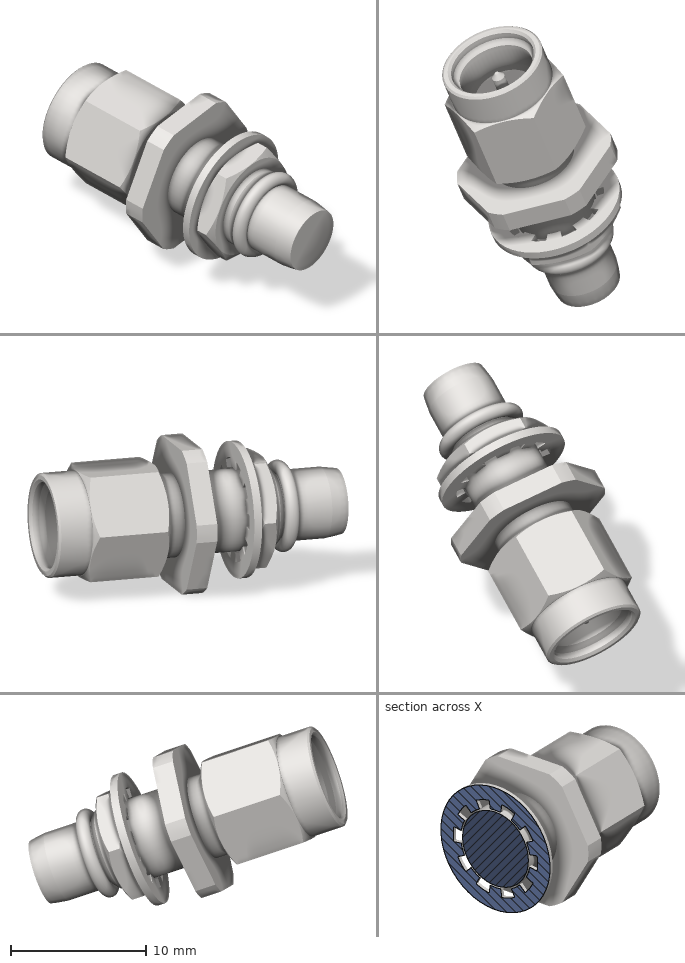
import cadquery as cq
import math


hex_front = 2.57
body_face = 3.05
hex_rear = 8.6
flange_front = 10.0
flange_thickness = 1.6
washer_front = 14.77
washer_thickness = 0.6
lock_nut_thickness = 1.6
thread_chamfer_start = 17.48
ring_center = 18.42
taper_start = 21.62
total_length = 22.95

flange_rear = flange_front + flange_thickness
lock_nut_front = washer_front + washer_thickness
lock_nut_rear = lock_nut_front + lock_nut_thickness

sleeve_radius = 3.9
sleeve_chamfer = 0.15
mouth_radius = 3.22
mouth_chamfer = 0.2
mouth_depth = 0.7
thread_bore_radius = 2.84
relief_radius = 3.2
relief_length = 1.5

hex_across_flats = 8.0
hex_chamfer_angle = 30
hex_chamfer_radius = 3.97

shank_radius = 2.26
collar_radius = 3.15
flange_across_flats = 11.0
flange_corner_radius = 6.0
thread_radius = 3.08
tail_radius = 2.66
tail_end_radius = 2.45
taper_bulge = 0.02

ring_tube_radius = 0.53
ring_radius = 2.9
groove_radius = ring_radius - ring_tube_radius
groove_width = 1.08

washer_radius = 5.1
washer_bore_radius = 3.2
slot_outer_radius = 3.9
tooth_count = 10
slot_angle = 180 / tooth_count

pin_radius = 0.48
pin_point_radius = 0.15
pin_point = 1.2
pin_point_length = 0.38
pin_rear = 6.0


def disc(radius, front, rear):
    """Solid cylinder on the X axis."""
    return cq.Workplane("YZ").workplane(offset=front).circle(radius).extrude(rear - front)


def hexagon(across_flats, front, rear):
    """Hexagonal prism on the X axis, flats up and down, corners toward +Y and -Y."""
    across_corners = across_flats / math.cos(math.radians(30))
    return cq.Workplane("YZ").workplane(offset=front).polygon(6, across_corners).extrude(rear - front)


def turned(points):
    """Solid of revolution about X; points are (x, radius)."""
    return cq.Workplane("XY").polyline(points).close().revolve(360, (0, 0, 0), (1, 0, 0))


def chamfered_hexagon(front, rear):
    """Nut hexagon whose corners are turned off conically at both ends."""
    corner_radius = hex_across_flats / 2 / math.cos(math.radians(30))
    chamfer_length = (corner_radius - hex_chamfer_radius) * math.tan(math.radians(hex_chamfer_angle))
    envelope = turned([
        (front, 0),
        (front, hex_chamfer_radius),
        (front + chamfer_length, corner_radius),
        (rear - chamfer_length, corner_radius),
        (rear, hex_chamfer_radius),
        (rear, 0),
    ])
    return hexagon(hex_across_flats, front, rear).intersect(envelope)


def make_coupling_nut():
    sleeve = disc(sleeve_radius, 0, hex_front).faces("<X").chamfer(sleeve_chamfer)
    nut = sleeve.union(chamfered_hexagon(hex_front, hex_rear))
    relief_rear = body_face + relief_length
    bore = turned([
        (0, 0),
        (0, mouth_radius + mouth_chamfer),
        (mouth_chamfer, mouth_radius),
        (mouth_depth, mouth_radius),
        (mouth_depth + mouth_radius - thread_bore_radius, thread_bore_radius),
        (body_face, thread_bore_radius),
        (body_face, relief_radius),
        (relief_rear, relief_radius),
        (relief_rear, shank_radius),
        (hex_rear, shank_radius),
        (hex_rear, 0),
    ])
    return nut.cut(bore)


def make_pin():
    return turned([
        (pin_point, 0),
        (pin_point, pin_point_radius),
        (pin_point + pin_point_length, pin_radius),
        (pin_rear, pin_radius),
        (pin_rear, 0),
    ])


def make_body(pin):
    """One turned piece with a hexagonal flange, an O-ring groove and a hole for the pin."""
    groove_front = ring_center - groove_width / 2
    groove_rear = ring_center + groove_width / 2
    chamfer_end_radius = thread_radius - (groove_front - thread_chamfer_start)
    taper_middle = (
        (taper_start + total_length) / 2,
        (tail_radius + tail_end_radius) / 2 + taper_bulge,
    )
    core = (
        cq.Workplane("XY")
        .moveTo(body_face, 0)
        .lineTo(body_face, shank_radius)
        .lineTo(hex_rear, shank_radius)
        .lineTo(hex_rear, collar_radius)
        .lineTo(flange_rear, collar_radius)
        .lineTo(flange_rear, thread_radius)
        .lineTo(thread_chamfer_start, thread_radius)
        .lineTo(groove_front, chamfer_end_radius)
        .lineTo(groove_front, groove_radius)
        .lineTo(groove_rear, groove_radius)
        .lineTo(groove_rear, tail_radius)
        .lineTo(taper_start, tail_radius)
        .threePointArc(taper_middle, (total_length, tail_end_radius))
        .lineTo(total_length, 0)
        .close()
        .revolve(360, (0, 0, 0), (1, 0, 0))
    )
    flange = hexagon(flange_across_flats, flange_front, flange_rear)
    flange = flange.intersect(disc(flange_corner_radius, flange_front, flange_rear))
    return core.union(flange).cut(pin)


def make_washer():
    """Ring with evenly spaced slots that leave teeth pointing inward."""
    washer = disc(washer_radius, washer_front, lock_nut_front)
    washer = washer.cut(disc(washer_bore_radius, washer_front, lock_nut_front))
    half_angle = math.radians(slot_angle / 2)
    corner_y = slot_outer_radius * math.cos(half_angle)
    corner_z = slot_outer_radius * math.sin(half_angle)
    slot = (
        cq.Workplane("YZ")
        .workplane(offset=washer_front)
        .lineTo(corner_y, -corner_z)
        .threePointArc((slot_outer_radius, 0), (corner_y, corner_z))
        .close()
        .extrude(washer_thickness)
    )
    for index in range(tooth_count):
        washer = washer.cut(slot.rotate((0, 0, 0), (1, 0, 0), index * 360 / tooth_count))
    return washer


def make_lock_nut():
    nut = chamfered_hexagon(lock_nut_front, lock_nut_rear)
    return nut.cut(disc(thread_radius, lock_nut_front, lock_nut_rear))


def make_ring():
    return (
        cq.Workplane("XY")
        .center(ring_center, ring_radius)
        .circle(ring_tube_radius)
        .revolve(360, (0, -ring_radius, 0), (1, -ring_radius, 0))
    )


coupling_nut = make_coupling_nut()
pin = make_pin()
body = make_body(pin)
washer = make_washer()
lock_nut = make_lock_nut()
ring = make_ring()

result = cq.Compound.makeCompound([
    coupling_nut.val(),
    pin.val(),
    body.val(),
    washer.val(),
    lock_nut.val(),
    ring.val(),
])